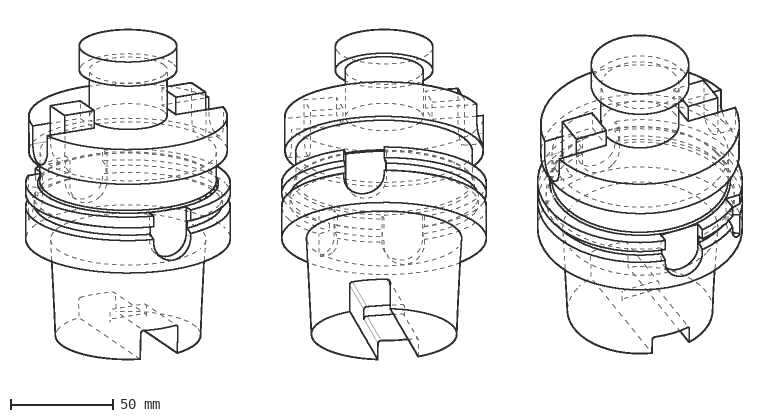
import cadquery as cq
import math

total_height = 150.0
flange_diameter = 100.0

shank_length = 50.0
shank_top_diameter = 75.9
shank_bottom_diameter = 71.1

drive_slot_width = 20.1
drive_slot_depth_left = 10.0
drive_slot_depth_right = 15.0
drive_slot_corner_radius = 1.5

flange_height = 29.0
flange_top = shank_length + flange_height
groove_diameter = 92.1
groove_center = shank_length + 20.1
groove_floor_width = 3.8
groove_mouth_width = 6.6

notch_width = 20.1
notch_radius = notch_width / 2
notch_center_height = shank_length + 15.0
side_notch_floor = 44.0
corner_notch_wall = 31.4

neck_diameter = 86.3
neck_height = 16.5
neck_fillet = 1.0
collar_diameter = 97.0
collar_height = 18.0
collar_bottom = flange_top + neck_height
collar_top = collar_bottom + collar_height

key_width = 15.9
key_radius = key_width / 2
key_inner = 22.2
key_outer = 38.4
key_rise = 9.0
key_slot_depth = 17.1
key_slot_bottom = collar_top - key_slot_depth

stem_diameter = 38.1
head_diameter = 47.7
head_height = 12.5


def make_body():
    """Revolve the whole turned profile about Z."""
    flange_radius = flange_diameter / 2
    groove_radius = groove_diameter / 2
    neck_radius = neck_diameter / 2
    collar_radius = collar_diameter / 2
    stem_radius = stem_diameter / 2
    head_radius = head_diameter / 2
    head_bottom = total_height - head_height
    half_mouth = groove_mouth_width / 2
    half_floor = groove_floor_width / 2
    fillet_center = (neck_radius + neck_fillet, flange_top + neck_fillet)
    diagonal = neck_fillet * math.sqrt(0.5)
    fillet_middle = (fillet_center[0] - diagonal, fillet_center[1] - diagonal)
    profile = (
        cq.Workplane("XZ")
        .moveTo(0, 0)
        .lineTo(shank_bottom_diameter / 2, 0)
        .lineTo(shank_top_diameter / 2, shank_length)
        .lineTo(flange_radius, shank_length)
        .lineTo(flange_radius, groove_center - half_mouth)
        .lineTo(groove_radius, groove_center - half_floor)
        .lineTo(groove_radius, groove_center + half_floor)
        .lineTo(flange_radius, groove_center + half_mouth)
        .lineTo(flange_radius, flange_top)
        .lineTo(fillet_center[0], flange_top)
        .threePointArc(fillet_middle, (neck_radius, fillet_center[1]))
        .lineTo(neck_radius, collar_bottom)
        .lineTo(collar_radius, collar_bottom)
        .lineTo(collar_radius, collar_top)
        .lineTo(stem_radius, collar_top)
        .lineTo(stem_radius, head_bottom)
        .lineTo(head_radius, head_bottom)
        .lineTo(head_radius, total_height)
        .lineTo(0, total_height)
        .close()
    )
    return profile.revolve(360, (0, 0, 0), (0, 1, 0))


def round_bottom_bar(plane, center, radius, center_height, top, start, end):
    """Bar with a half-round underside, running along the plane's normal from start to end."""
    return (
        cq.Workplane(plane)
        .workplane(offset=start)
        .moveTo(center - radius, top)
        .lineTo(center - radius, center_height)
        .threePointArc((center, center_height - radius), (center + radius, center_height))
        .lineTo(center + radius, top)
        .close()
        .extrude(end - start)
    )


def flange_notch(center_y, floor_x):
    """Notch cutter that opens on the -X side and reaches in to x = -floor_x."""
    return round_bottom_bar(
        "YZ", center_y, notch_radius, notch_center_height, flange_top, -flange_diameter, -floor_x
    )


def drive_slot(depth, side):
    """Slot from the axis outward, on the +X side (side = 1) or the -X side (side = -1)."""
    length = shank_top_diameter
    return (
        cq.Workplane("XY")
        .box(length, drive_slot_width, depth, centered=(True, True, False))
        .edges("|X and >Z")
        .fillet(drive_slot_corner_radius)
        .translate((side * length / 2, 0, 0))
    )


def key_bar(start, end, top):
    """Half-round-bottomed bar on the -Y side, between two distances from the axis."""
    return round_bottom_bar("XZ", 0, key_radius, key_slot_bottom + key_radius, top, start, end)


result = make_body()

side_notch = flange_notch(0, side_notch_floor)
result = result.cut(side_notch)
result = result.cut(side_notch.mirror("YZ"))
result = result.cut(flange_notch(-corner_notch_wall - notch_radius, corner_notch_wall))

result = result.cut(drive_slot(drive_slot_depth_left, -1))
result = result.cut(drive_slot(drive_slot_depth_right, 1))

key_slot = key_bar(key_outer, collar_diameter, collar_top)
key = key_bar(key_inner, key_outer, collar_top + key_rise)
for cutter in (key_slot, key_slot.mirror("XZ")):
    result = result.cut(cutter)
for block in (key, key.mirror("XZ")):
    result = result.union(block)